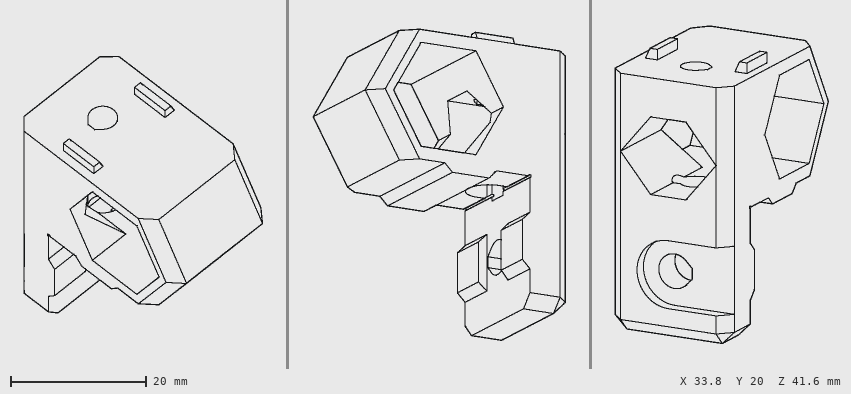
import cadquery as cq
import math

width = 20.0
half_width = width / 2
body_top = 39.98
block_height = width
block_bottom = body_top - block_height
block_mid_z = body_top - block_height / 2
leg_thickness = 7.07
tip_reach = 33.8
shoulder_x = tip_reach - block_height / 2 * math.tan(math.radians(30))
chamfer = 2.0
corner_relief_radius = 0.2

bore_x = 20.8
bore_across_flats = 16.0
bore_radius = bore_across_flats / 2 / math.cos(math.radians(30))

opening_half_width = half_width - chamfer
opening_half_flat = 2.95
opening_half_height = 6.0
opening_z = block_mid_z - bore_across_flats / 2 + opening_half_height

leg_hole_z = 10.03
leg_hole_radius = 2.65
top_hole_x = 8.5
top_hole_radius = 2.2
top_hole_leg_depth = 0.85
point_reach_ratio = 1.1
access_hole_radius = 3.5

slot_radius = 5.25
slot_depth = chamfer

rib_flat = 6.15
rib_height = 1.3
block_rib_x = 17.05

tab_height = 1.62
tab_start_x = 8.7
tab_length = 6.32
tab_base_width = 2.0
tab_top_width = 1.25
tab_front_ys = (-8.53, 6.5)


def extrude_across(outline):
    """Extrude an XZ outline over the full width, centred on Y = 0."""
    return outline.extrude(half_width, both=True)


def make_body():
    """Pointed block and leg with chamfered back, lower and tip edges."""
    body = extrude_across(
        cq.Workplane("XZ").polyline([
            (0, 0),
            (leg_thickness, 0),
            (leg_thickness, block_bottom),
            (shoulder_x, block_bottom),
            (tip_reach, block_mid_z),
            (shoulder_x, body_top),
            (0, body_top),
        ]).close()
    )
    lower_edges = body.faces("<Z").edges("not >X")
    back_edges = body.faces("<X").edges("|Z")
    body = body.newObject(lower_edges.vals() + back_edges.vals()).chamfer(chamfer)
    tip_edges = body.edges(
        cq.selectors.BoxSelector(
            (shoulder_x, -width, block_bottom),
            (tip_reach, width, body_top),
        )
    ).edges("not (|X or |Y or |Z)")
    return body.newObject(tip_edges.vals()).chamfer(chamfer)


def make_rib():
    """Rib along Y standing on the XY plane and pointing towards +Z."""
    half_base = rib_flat / 2 + rib_height
    return extrude_across(
        cq.Workplane("XZ").polyline([
            (-half_base, 0),
            (half_base, 0),
            (rib_flat / 2, rib_height),
            (-rib_flat / 2, rib_height),
        ]).close()
    )


def make_tab(front_y):
    """Tab along X with an upright -Y side and a sloping +Y side."""
    return (
        cq.Workplane("YZ", origin=(tab_start_x, front_y, body_top))
        .polyline([
            (0, 0),
            (tab_base_width, 0),
            (tab_top_width, tab_height),
            (0, tab_height),
        ])
        .close()
        .extrude(tab_length)
    )


def make_pointed_hole(radius, depth):
    """Vertical hole rising from the XY plane, pointed towards -Y."""
    tangent = radius * math.sqrt(0.5)
    point_y = -point_reach_ratio * radius
    point_half_flat = radius * math.sqrt(2) + point_y
    return (
        cq.Workplane("XY")
        .moveTo(-tangent, -tangent)
        .threePointArc((0, radius), (tangent, -tangent))
        .lineTo(point_half_flat, point_y)
        .lineTo(-point_half_flat, point_y)
        .close()
        .extrude(depth)
    )


def make_opening():
    """Six-sided passage along X from the back face to the bore centre."""
    return (
        cq.Workplane("YZ", origin=(0, 0, opening_z))
        .polyline([
            (-opening_half_width, 0),
            (-opening_half_flat, -opening_half_height),
            (opening_half_flat, -opening_half_height),
            (opening_half_width, 0),
            (opening_half_flat, opening_half_height),
            (-opening_half_flat, opening_half_height),
        ])
        .close()
        .extrude(bore_x)
    )


def make_access_hole():
    """Wide hole rising past the leg rib into the opening, cut off at the leg's inner face."""
    hole = (
        cq.Workplane("XY", origin=(top_hole_x, 0, 0))
        .circle(access_hole_radius)
        .extrude(opening_z)
    )
    leg = cq.Workplane("XY").box(
        leg_thickness, width, body_top, centered=(False, True, False)
    )
    return hole.cut(leg)


def make_head_slot():
    """Round-ended slot in the back face, running out through the -Y side."""
    round_end = (
        cq.Workplane("YZ", origin=(0, 0, leg_hole_z))
        .circle(slot_radius)
        .extrude(slot_depth)
    )
    run_out = (
        cq.Workplane("YZ", origin=(0, -half_width / 2, leg_hole_z))
        .rect(half_width, 2 * slot_radius)
        .extrude(slot_depth)
    )
    return round_end.union(run_out)


result = make_body()

block_rib = make_rib().rotate((0, 0, 0), (0, 1, 0), 180).translate((block_rib_x, 0, block_bottom))
leg_rib = make_rib().rotate((0, 0, 0), (0, 1, 0), 90).translate((leg_thickness, 0, leg_hole_z))
result = result.union(block_rib).union(leg_rib)
for front_y in tab_front_ys:
    result = result.union(make_tab(front_y))

bore = extrude_across(
    cq.Workplane("XZ", origin=(bore_x, 0, block_mid_z)).polygon(6, 2 * bore_radius)
)
corner_relief = extrude_across(
    cq.Workplane("XZ", origin=(leg_thickness, 0, block_bottom)).circle(corner_relief_radius)
)
result = result.cut(bore).cut(make_opening()).cut(corner_relief)

top_hole = (
    make_pointed_hole(top_hole_radius, block_height + top_hole_leg_depth)
    .translate((top_hole_x, 0, block_bottom - top_hole_leg_depth))
)
leg_hole = (
    make_pointed_hole(leg_hole_radius, leg_thickness + rib_height)
    .rotate((0, 0, 0), (0, 1, 0), 90)
    .translate((0, 0, leg_hole_z))
)
result = result.cut(top_hole).cut(make_access_hole())
result = result.cut(leg_hole).cut(make_head_slot())